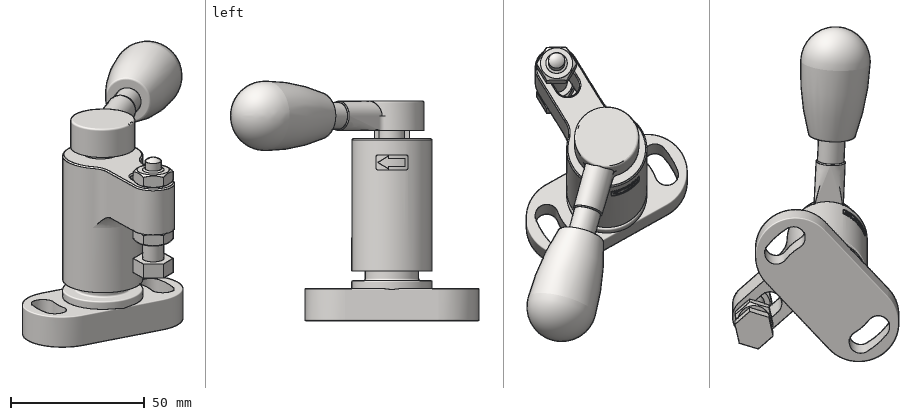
import cadquery as cq
import math

base_top = 12.0
boss_top = 15.0
housing_bottom = 18.5
arm_bottom = 50.0
housing_top = 68.0
hub_bottom = 71.0
hub_top = 82.0

body_radius = 30.0 / 2
base_length = 65.0
neck_radius = 10.0
base_edge = 0.4
boss_edge = 0.5
neck_fillet = 0.7
slot_pitch_radius = 23.8
slot_width = 8.6
slot_half_angle = 10.6

arm_width = 16.0
bolt_x = 37.0
arm_blend = 8.0
web_radius = 6.0
housing_edge = 0.5
housing_bottom_edge = 0.2
arm_slot_start = 29.0
arm_slot_width = 9.0
plate_width = 12.0
plate_height = 5.6
plate_corner = 0.8
plate_z = 59.1
plate_depth = 0.3
arrow_tip = 5.3
arrow_neck = 1.3
arrow_tail = -5.0
arrow_head_half = 2.4
arrow_shaft_half = 1.5

lever_angle = 135
hub_radius = 12.0
hub_edge = 0.7
lever_half_width = 5.5
lever_z = hub_bottom + lever_half_width
lever_blend = 2.0
lever_arm_end = 28.4
lever_arm_chamfer = 0.4
lever_round_start = lever_arm_end - lever_arm_chamfer
rod_radius = 10.0 / 2
knob_start = 38.0
knob_centre = 66.9
knob_radius = 26.0 / 2
knob_mouth_radius = 8.6
knob_mouth_fillet = 0.7
pin_radius = 10.0 / 2
cam_offset = 1.6
cam_radius = pin_radius + cam_offset

bolt_radius = 4.0
hex_flats = 13.0
nut_height = 5.1
nut_face_radius = 6.0
nut_chamfer_slope = 30
head_bottom = 32.4
head_top = 38.0
tip_radius = 3.1
tip_taper = 0.4
tip_shoulder = 76.6
bolt_end = 77.8


def blend_centre_distance(round_radius, half_width, blend):
    """Axial distance of the arc centre that blends a round boss into a straight-sided arm."""
    return math.sqrt((round_radius + blend) ** 2 - (half_width + blend) ** 2)


def arm_outline(round_radius, half_width, blend):
    """Boss circle continued by two concave arcs; ends at the two straight arm sides."""
    centre_x = blend_centre_distance(round_radius, half_width, blend)
    centre_y = half_width + blend
    ratio = round_radius / (round_radius + blend)
    touch = (centre_x * ratio, centre_y * ratio)
    toward_boss = math.atan2(touch[1] - centre_y, touch[0] - centre_x) % (2 * math.pi)
    middle = (toward_boss + 1.5 * math.pi) / 2
    mid = (centre_x + blend * math.cos(middle), centre_y + blend * math.sin(middle))
    return (
        cq.Workplane("XY")
        .moveTo(centre_x, half_width)
        .threePointArc(mid, touch)
        .threePointArc((-round_radius, 0), (touch[0], -touch[1]))
        .threePointArc((mid[0], -mid[1]), (centre_x, -half_width))
    )


def disc(radius, bottom, top):
    return cq.Workplane("XY").workplane(offset=bottom).circle(radius).extrude(top - bottom)


def curved_slot():
    """Slot bent round the main axis, cut through the base at its +Y end."""
    half_angle = math.radians(slot_half_angle)
    inner = slot_pitch_radius - slot_width / 2
    outer = slot_pitch_radius + slot_width / 2
    end = half_angle + slot_width / 2 / slot_pitch_radius

    def at(radius, angle):
        return radius * math.sin(angle), radius * math.cos(angle)

    return (
        cq.Workplane("XY")
        .moveTo(*at(outer, -half_angle))
        .threePointArc((0, outer), at(outer, half_angle))
        .threePointArc(at(slot_pitch_radius, end), at(inner, half_angle))
        .threePointArc((0, inner), at(inner, -half_angle))
        .threePointArc(at(slot_pitch_radius, -end), at(outer, -half_angle))
        .close()
        .extrude(base_top)
    )


def make_base():
    plate = cq.Workplane("XY").slot2D(base_length, 2 * body_radius, 90).extrude(base_top)
    plate = plate.faces("<Z or >Z").edges().fillet(base_edge)
    boss = disc(body_radius, base_top / 2, boss_top).faces(">Z").edges().fillet(boss_edge)
    base = plate.union(boss).union(disc(neck_radius, base_top, housing_bottom))
    margin = 0.1
    corner = cq.selectors.BoxSelector(
        (-neck_radius - margin, -neck_radius - margin, boss_top - margin),
        (neck_radius + margin, neck_radius + margin, boss_top + margin),
        boundingbox=True,
    )
    base = base.edges(corner).fillet(neck_fillet)
    slot = curved_slot()
    return base.cut(slot).cut(slot.rotate((0, 0, 0), (0, 0, 1), 180))


def housing_plan():
    return (
        arm_outline(body_radius, arm_width / 2, arm_blend)
        .lineTo(bolt_x, -arm_width / 2)
        .threePointArc((bolt_x + arm_width / 2, 0), (bolt_x, arm_width / 2))
        .close()
    )


def under_arm_web():
    """Concave ring under the arm, trimmed to the arm's plan outline."""
    web_low = arm_bottom - web_radius
    web_out = body_radius + web_radius
    bend = web_radius * math.sqrt(0.5)
    ring = (
        cq.Workplane("XZ")
        .moveTo(body_radius, web_low)
        .threePointArc((web_out - bend, web_low + bend), (web_out, arm_bottom))
        .lineTo(neck_radius, arm_bottom)
        .lineTo(neck_radius, web_low)
        .close()
        .revolve(360, (0, 0, 0), (0, 1, 0))
    )
    return ring.intersect(housing_plan().extrude(housing_top))


def arrow_plate():
    """Shallow recess in the -X side that leaves a raised arrow pointing to +Y."""
    depth_plane = cq.Workplane("YZ", origin=(-body_radius - 1.1, 0, plate_z))
    window = depth_plane.rect(plate_width, plate_height).extrude(body_radius)
    window = window.edges("|X").fillet(plate_corner)
    arrow = (
        depth_plane.moveTo(arrow_tip, 0)
        .lineTo(arrow_neck, arrow_head_half)
        .lineTo(arrow_neck, arrow_shaft_half)
        .lineTo(arrow_tail, arrow_shaft_half)
        .lineTo(arrow_tail, -arrow_shaft_half)
        .lineTo(arrow_neck, -arrow_shaft_half)
        .lineTo(arrow_neck, -arrow_head_half)
        .close()
        .extrude(body_radius)
    )
    return window.cut(arrow).cut(disc(body_radius - plate_depth, arm_bottom, housing_top))


def make_housing():
    column = disc(body_radius, housing_bottom, housing_top)
    column = column.faces("<Z").edges().fillet(housing_bottom_edge)
    arm = housing_plan().extrude(housing_top - arm_bottom).translate((0, 0, arm_bottom))
    slot = (
        cq.Workplane("XY")
        .center((arm_slot_start + bolt_x) / 2, 0)
        .slot2D(bolt_x - arm_slot_start + arm_slot_width, arm_slot_width)
        .extrude(housing_top)
    )
    housing = column.union(arm).union(under_arm_web()).cut(slot)
    housing = housing.faces(">Z").edges().chamfer(housing_edge)
    return housing.cut(arrow_plate())


def spandrel_cone(side):
    """Cut that turns one lower corner of the lever arm from square at the hub to round at its end."""
    apex_x = blend_centre_distance(hub_radius, lever_half_width, lever_blend)
    radius = lever_half_width
    apex_scale = 0.01
    bend = math.sqrt(0.5)

    def section(x, scale):
        def at(y, z):
            return cq.Vector(x, side * radius * (1 - scale * (1 - y)), radius * (-1 + scale * (1 + z)))

        arc = cq.Edge.makeThreePointArc(at(1, 0), at(bend, -bend), at(0, -1))
        floor = cq.Edge.makeLine(at(0, -1), at(1, -1))
        wall = cq.Edge.makeLine(at(1, -1), at(1, 0))
        return cq.Wire.assembleEdges([arc, floor, wall])

    cone = cq.Solid.makeLoft([section(lever_round_start, 1), section(apex_x, apex_scale)], True)
    return cq.Workplane(cone)


def lever_arm():
    """Lever arm along +X with its axis at Z = 0: round above, square below next to the hub."""
    arm = cq.Workplane("YZ").circle(lever_half_width).extrude(lever_arm_end)
    arm = arm.faces(">X").chamfer(lever_arm_chamfer)
    lower = (
        arm_outline(hub_radius, lever_half_width, lever_blend)
        .lineTo(lever_round_start, -lever_half_width)
        .lineTo(lever_round_start, lever_half_width)
        .close()
        .extrude(-lever_half_width)
    )
    for side in (-1, 1):
        lower = lower.cut(spandrel_cone(side))
    return arm.union(lower)


def rod_and_knob():
    """Rod and drop-shaped knob, revolved about the X axis."""
    length = knob_centre - knob_start
    drop = knob_radius - knob_mouth_radius
    flank_radius = (length ** 2 + drop ** 2) / (2 * drop)
    mid_x = length / 2
    mid_r = knob_radius - flank_radius + math.sqrt(flank_radius ** 2 - mid_x ** 2)
    bend = knob_radius * math.sqrt(0.5)
    knob = (
        cq.Workplane("XY")
        .moveTo(knob_start, 0)
        .lineTo(knob_start, knob_mouth_radius)
        .threePointArc((knob_centre - mid_x, mid_r), (knob_centre, knob_radius))
        .threePointArc((knob_centre + bend, bend), (knob_centre + knob_radius, 0))
        .close()
        .revolve(360, (0, 0, 0), (1, 0, 0))
    )
    knob = knob.faces("<X").edges().fillet(knob_mouth_fillet)
    return knob.union(cq.Workplane("YZ").circle(rod_radius).extrude(knob_centre))


def cam_pin():
    """Round pin with a half-round cam whose flat faces -X."""
    height = hub_bottom - housing_top
    cam = (
        cq.Workplane("XY")
        .moveTo(-cam_offset, -cam_radius)
        .threePointArc((pin_radius, 0), (-cam_offset, cam_radius))
        .close()
        .extrude(height)
    )
    pin = cq.Workplane("XY").circle(pin_radius).extrude(height)
    return pin.union(cam).translate((0, 0, housing_top))


def make_lever():
    hub = disc(hub_radius, hub_bottom, hub_top).faces(">Z").edges().fillet(hub_edge)
    handle = lever_arm().union(rod_and_knob())
    handle = handle.rotate((0, 0, 0), (0, 0, 1), lever_angle).translate((0, 0, lever_z))
    return hub.union(handle).union(cam_pin())


def hexagon(bottom, top):
    corner_diameter = hex_flats / math.cos(math.pi / 6)
    return cq.Workplane("XY", origin=(bolt_x, 0, bottom)).polygon(6, corner_diameter).extrude(top - bottom)


def make_nut(bottom):
    """Hexagon nut with conical chamfers on both faces and a bore that fits the bolt."""
    corner_radius = hex_flats / 2 / math.cos(math.pi / 6)
    fall = (corner_radius - nut_face_radius) * math.tan(math.radians(nut_chamfer_slope))
    double_cone = (
        cq.Workplane("XZ")
        .moveTo(bolt_radius, 0)
        .lineTo(nut_face_radius, 0)
        .lineTo(corner_radius, fall)
        .lineTo(corner_radius, nut_height - fall)
        .lineTo(nut_face_radius, nut_height)
        .lineTo(bolt_radius, nut_height)
        .close()
        .revolve(360, (0, 0, 0), (0, 1, 0))
        .translate((bolt_x, 0, bottom))
    )
    return hexagon(bottom, bottom + nut_height).intersect(double_cone)


def make_bolt():
    """Hexagon bolt with its head below the arm and a thinner domed tip on top."""
    thread_end = housing_top + nut_height
    dome_rise = bolt_end - tip_shoulder
    dome_radius = (tip_radius ** 2 + dome_rise ** 2) / (2 * dome_rise)
    mid_r = tip_radius / 2
    mid_z = bolt_end - dome_radius + math.sqrt(dome_radius ** 2 - mid_r ** 2)
    shank = (
        cq.Workplane("XZ")
        .moveTo(0, head_bottom)
        .lineTo(bolt_radius, head_bottom)
        .lineTo(bolt_radius, thread_end)
        .lineTo(tip_radius, thread_end + tip_taper)
        .lineTo(tip_radius, tip_shoulder)
        .threePointArc((mid_r, mid_z), (0, bolt_end))
        .close()
        .revolve(360, (0, 0, 0), (0, 1, 0))
        .translate((bolt_x, 0, 0))
    )
    return shank.union(hexagon(head_bottom, head_top))


base = make_base()
housing = make_housing()
lever = make_lever()
bolt = make_bolt()
nuts = [make_nut(bottom) for bottom in (arm_bottom - nut_height, housing_top)]

result = cq.Compound.makeCompound(
    [base.val(), housing.val(), lever.val(), bolt.val(), *[nut.val() for nut in nuts]]
)